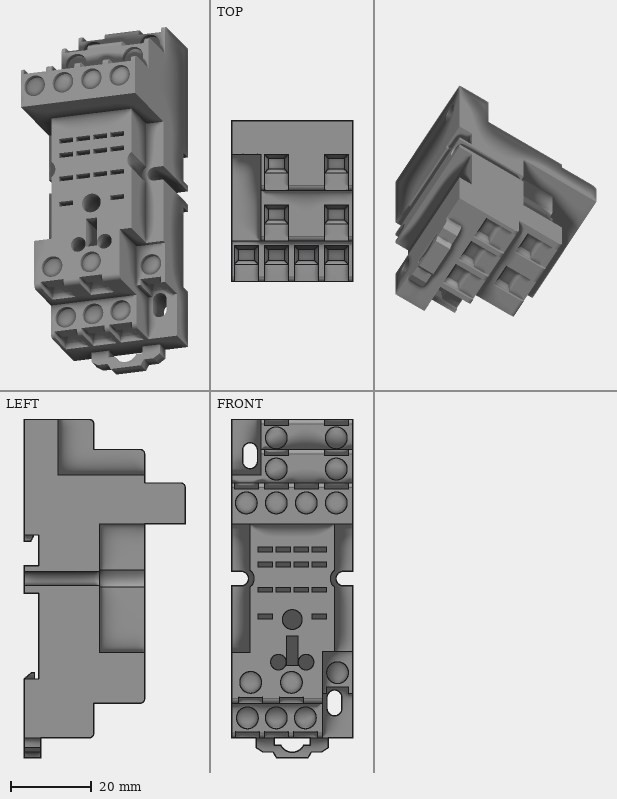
import cadquery as cq
import math


WIDTH = 29.97
HALF_WIDTH = WIDTH / 2
HEIGHT = 78.87
REAR_TIER_DEPTH = 17.27
FRONT_TIER_DEPTH = 29.85
OVERHANG_DEPTH = 39.88
REAR_TIER_TOP = HEIGHT
FRONT_TIER_TOP = 71.45
OVERHANG_TOP = 63.16
OVERHANG_BOTTOM = 52.98
FRONT_TIER_BOTTOM = 8.54
EDGE_RADIUS = 1.2

CHANNEL_DEPTH = 3.6
UPPER_CHANNEL = (42.64, 50.2)
LOWER_CHANNEL = (14.6, 35.8)

PAD_DEPTH = 8.38
UPPER_PAD_RIGHT = -7.77
UPPER_PAD_BOTTOM = 65.1
CORNER_BLOCK_LEFT = 7.45
CORNER_BLOCK_TOP = 21.4
LOWER_PAD_TOP = 11.04
OBLONG_WIDTH = 3.6
OBLONG_LENGTH = 6.35
OBLONG_X = 10.45
UPPER_OBLONG_Z = 69.85
LOWER_OBLONG_Z = 8.65

RECESS_FLOOR_DEPTH = 18.69
RECESS_WALL_X = 10.48
RECESS_BOTTOM = 21.15
GROOVE_Z = HEIGHT / 2
GROOVE_RADIUS = 1.77
GROOVE_END_X = 10.86
RELIEF_HALF_CHORD = 2.1
RELIEF_SAGITTA = 1.05

NOTCH_WIDTH = 5.94
CORNER_NOTCH_WIDTH = 5.44
NOTCH_LENGTH = REAR_TIER_DEPTH - PAD_DEPTH
NOTCH_HEIGHT = 1.52
POCKET_LENGTH = 4.6
POCKET_TAPER = 0.98
POCKET_DEPTH = 1.65
SCREW_RADIUS = 2.7
SCREW_DEPTH = 1.5
REAR_SCREW_OFFSET = 4.6
FRONT_SCREW_OFFSET = 4.9
OVERHANG_SCREW_OFFSET = 5.0
FRONT_LOWER_SCREW_OFFSET = 5.2
REAR_LOWER_SCREW_OFFSET = 4.95
CORNER_SCREW_OFFSET = 5.1
TERMINAL_PITCH = 7.42
FIRST_COLUMN_X = -11.36
UPPER_COLUMN_COUNT = 4
UPPER_COLUMNS = [FIRST_COLUMN_X + i * TERMINAL_PITCH for i in range(UPPER_COLUMN_COUNT)]
OUTER_COLUMNS = [UPPER_COLUMNS[1], UPPER_COLUMNS[-1]]
REAR_LOWER_COLUMNS = [-11.1, -3.95, 3.25]
FRONT_LOWER_COLUMNS = [-10.3, -0.2]
CORNER_COLUMNS = [11.22]

CONTACT_WIDTH = 3.66
CONTACT_HEIGHT = 1.22
CONTACT_PITCH = 4.46
CONTACT_COUNT = 4
CONTACT_COLUMNS = [(i - (CONTACT_COUNT - 1) / 2) * CONTACT_PITCH for i in range(CONTACT_COUNT)]
FULL_CONTACT_ROWS = [46.67, 42.88, 36.68]
COIL_CONTACT_ROW = 30.0
SOCKET_DEPTH = 10.0
CENTRE_HOLE_Z = 29.3
CENTRE_HOLE_RADIUS = 2.45
KEY_SLOT_WIDTH = 2.87
KEY_SLOT_BOTTOM = 17.88
KEY_SLOT_TOP = 25.27
SIDE_HOLE_X = 3.42
SIDE_HOLE_Z = 18.75
SIDE_HOLE_RADIUS = 1.93

CLIP_HALF_WIDTH = 8.97
CLIP_THICKNESS = 4.1
CLIP_DROP = 4.95
CLIP_SIDE_DROP = 2.4
CLIP_SHOULDER_DROP = 3.5
CLIP_SHOULDER_OUTER = 7.3
CLIP_SHOULDER_INNER = 4.75
CLIP_TIP_HALF_WIDTH = 3.9
CLIP_OPENING_HALF_WIDTH = 4.45
CLIP_OPENING_DROP = 1.8
CLIP_ARC_HALF_WIDTH = 2.8
CLIP_ARC_DROP = 3.55
HOOK_HEIGHT = 1.55
UPPER_HOOK_ROOT = 2.4
UPPER_HOOK_TIP = 1.65
LOWER_HOOK_DEPTH = 2.6
LOWER_HOOK_RAMP = 1.8


def block(x_range, depth_range, z_range):
    """Box between the given X, depth and Z limits."""
    x0, x1 = x_range
    d0, d1 = depth_range
    z0, z1 = z_range
    box = cq.Workplane("XY").box(x1 - x0, d1 - d0, z1 - z0, centered=False)
    return box.translate((x0, -d1, z0))


def side_profile(points, half_width):
    """Prism along X, centred, from (depth, z) points."""
    outline = cq.Workplane("YZ").polyline([(-depth, z) for depth, z in points]).close()
    return outline.extrude(half_width, both=True)


def front_hole(x, z, radius, face_depth, hole_depth):
    """Round cutter that enters the face at face_depth and runs towards the back."""
    face = cq.Workplane("XZ", origin=(x, hole_depth - face_depth, z))
    return face.circle(radius).extrude(hole_depth)


def make_body():
    profile = [
        (0, 0),
        (REAR_TIER_DEPTH, 0),
        (REAR_TIER_DEPTH, FRONT_TIER_BOTTOM),
        (FRONT_TIER_DEPTH, FRONT_TIER_BOTTOM),
        (FRONT_TIER_DEPTH, OVERHANG_BOTTOM),
        (OVERHANG_DEPTH, OVERHANG_BOTTOM),
        (OVERHANG_DEPTH, OVERHANG_TOP),
        (FRONT_TIER_DEPTH, OVERHANG_TOP),
        (FRONT_TIER_DEPTH, FRONT_TIER_TOP),
        (REAR_TIER_DEPTH, FRONT_TIER_TOP),
        (REAR_TIER_DEPTH, REAR_TIER_TOP),
        (0, REAR_TIER_TOP),
    ]
    rounded_edges = [
        (REAR_TIER_DEPTH, 0),
        (FRONT_TIER_DEPTH, FRONT_TIER_BOTTOM),
        (OVERHANG_DEPTH, OVERHANG_TOP),
        (FRONT_TIER_DEPTH, FRONT_TIER_TOP),
        (REAR_TIER_DEPTH, REAR_TIER_TOP),
    ]
    body = side_profile(profile, HALF_WIDTH)
    for depth, z in rounded_edges:
        edge = body.edges(cq.selectors.NearestToPointSelector((0, -depth, z)))
        body = edge.fillet(EDGE_RADIUS)
    return body


def cut_rail_channels(body):
    for z_range in (UPPER_CHANNEL, LOWER_CHANNEL):
        body = body.cut(block((-HALF_WIDTH, HALF_WIDTH), (0, CHANNEL_DEPTH), z_range))
    return body


def oblong_hole(x, z):
    plane = cq.Workplane("XZ", origin=(x, 0, z))
    return plane.slot2D(OBLONG_LENGTH, OBLONG_WIDTH, 90).extrude(OVERHANG_DEPTH)


def cut_mounting_corners(body):
    upper_pad_x = (-HALF_WIDTH, UPPER_PAD_RIGHT)
    upper_pad = block(upper_pad_x, (PAD_DEPTH, OVERHANG_DEPTH), (UPPER_PAD_BOTTOM, HEIGHT))
    corner_x = (CORNER_BLOCK_LEFT, HALF_WIDTH)
    corner_block = block(corner_x, (REAR_TIER_DEPTH, OVERHANG_DEPTH), (0, CORNER_BLOCK_TOP))
    lower_pad = block(corner_x, (PAD_DEPTH, OVERHANG_DEPTH), (0, LOWER_PAD_TOP))
    body = body.cut(upper_pad).cut(corner_block).cut(lower_pad)
    body = body.cut(oblong_hole(-OBLONG_X, UPPER_OBLONG_Z))
    return body.cut(oblong_hole(OBLONG_X, LOWER_OBLONG_Z))


def cut_side(body, side):
    """Recess, finger groove and rounded relief on one side (-1 left, 1 right)."""
    recess_x = sorted((side * RECESS_WALL_X, side * HALF_WIDTH))
    recess_depths = (RECESS_FLOOR_DEPTH, FRONT_TIER_DEPTH)
    body = body.cut(block(recess_x, recess_depths, (RECESS_BOTTOM, OVERHANG_BOTTOM)))

    groove_depth = RECESS_FLOOR_DEPTH
    groove_centre = GROOVE_END_X + GROOVE_RADIUS
    groove_x = sorted((side * groove_centre, side * HALF_WIDTH))
    groove_z = (GROOVE_Z - GROOVE_RADIUS, GROOVE_Z + GROOVE_RADIUS)
    body = body.cut(block(groove_x, (0, groove_depth), groove_z))
    body = body.cut(front_hole(side * groove_centre, GROOVE_Z, GROOVE_RADIUS, groove_depth, groove_depth))

    relief_radius = (RELIEF_HALF_CHORD**2 + RELIEF_SAGITTA**2) / (2 * RELIEF_SAGITTA)
    relief_x = RECESS_WALL_X - RELIEF_SAGITTA + relief_radius
    relief_depth = FRONT_TIER_DEPTH - RECESS_FLOOR_DEPTH
    return body.cut(front_hole(side * relief_x, GROOVE_Z, relief_radius, FRONT_TIER_DEPTH, relief_depth))


def wire_entry(x, face_depth, edge_z, direction, width):
    """Notch and tapered pocket at a tier edge; direction is 1 for upward, -1 for downward."""
    back_depth = face_depth - NOTCH_LENGTH
    floor_z = edge_z - direction * NOTCH_HEIGHT
    x_range = (x - width / 2, x + width / 2)
    notch = block(x_range, (back_depth, face_depth), sorted((floor_z, edge_z)))
    taper = math.degrees(math.atan(POCKET_TAPER / POCKET_DEPTH))
    pocket_centre = (x, -back_depth - POCKET_LENGTH / 2, floor_z)
    mouth = cq.Workplane(cq.Plane(pocket_centre, xDir=(1, 0, 0), normal=(0, 0, -direction)))
    pocket = mouth.rect(width, POCKET_LENGTH).extrude(POCKET_DEPTH, taper=taper)
    return notch.union(pocket)


def cut_terminals(body, columns, face_depth, edge_z, screw_offset, direction, width=NOTCH_WIDTH):
    """Row of terminals: a wire entry at the tier edge and a screw opening in the face."""
    screw_z = edge_z - direction * screw_offset
    for x in columns:
        body = body.cut(wire_entry(x, face_depth, edge_z, direction, width))
        body = body.cut(front_hole(x, screw_z, SCREW_RADIUS, face_depth, SCREW_DEPTH))
    return body


def cut_all_terminals(body):
    up = 1
    down = -1
    body = cut_terminals(body, OUTER_COLUMNS, REAR_TIER_DEPTH, REAR_TIER_TOP, REAR_SCREW_OFFSET, up)
    body = cut_terminals(body, OUTER_COLUMNS, FRONT_TIER_DEPTH, FRONT_TIER_TOP, FRONT_SCREW_OFFSET, up)
    body = cut_terminals(body, UPPER_COLUMNS, OVERHANG_DEPTH, OVERHANG_TOP, OVERHANG_SCREW_OFFSET, up)
    body = cut_terminals(
        body, FRONT_LOWER_COLUMNS, FRONT_TIER_DEPTH, FRONT_TIER_BOTTOM, FRONT_LOWER_SCREW_OFFSET, down
    )
    body = cut_terminals(body, REAR_LOWER_COLUMNS, REAR_TIER_DEPTH, 0, REAR_LOWER_SCREW_OFFSET, down)
    return cut_terminals(
        body, CORNER_COLUMNS, REAR_TIER_DEPTH, LOWER_PAD_TOP, CORNER_SCREW_OFFSET, down, CORNER_NOTCH_WIDTH
    )


def cut_plug_face(body):
    """Contact slots, centre hole, key slot and the two holes beside it."""
    contacts = [(x, z) for z in FULL_CONTACT_ROWS for x in CONTACT_COLUMNS]
    contacts += [(x, COIL_CONTACT_ROW) for x in (CONTACT_COLUMNS[0], CONTACT_COLUMNS[-1])]
    socket_depths = (FRONT_TIER_DEPTH - SOCKET_DEPTH, FRONT_TIER_DEPTH)
    for x, z in contacts:
        x_range = (x - CONTACT_WIDTH / 2, x + CONTACT_WIDTH / 2)
        z_range = (z - CONTACT_HEIGHT / 2, z + CONTACT_HEIGHT / 2)
        body = body.cut(block(x_range, socket_depths, z_range))

    key_x = (-KEY_SLOT_WIDTH / 2, KEY_SLOT_WIDTH / 2)
    body = body.cut(block(key_x, socket_depths, (KEY_SLOT_BOTTOM, KEY_SLOT_TOP)))
    body = body.cut(front_hole(0, CENTRE_HOLE_Z, CENTRE_HOLE_RADIUS, FRONT_TIER_DEPTH, SOCKET_DEPTH))
    for x in (-SIDE_HOLE_X, SIDE_HOLE_X):
        body = body.cut(front_hole(x, SIDE_HOLE_Z, SIDE_HOLE_RADIUS, FRONT_TIER_DEPTH, SOCKET_DEPTH))
    return body


def make_clip():
    """Release tab hanging below the body, with an opening for a screwdriver."""
    outline = (
        cq.Workplane("XZ")
        .moveTo(-CLIP_HALF_WIDTH, 0)
        .lineTo(-CLIP_HALF_WIDTH, -CLIP_SIDE_DROP)
        .lineTo(-CLIP_SHOULDER_OUTER, -CLIP_SHOULDER_DROP)
        .lineTo(-CLIP_SHOULDER_INNER, -CLIP_SHOULDER_DROP)
        .lineTo(-CLIP_TIP_HALF_WIDTH, -CLIP_DROP)
        .lineTo(CLIP_TIP_HALF_WIDTH, -CLIP_DROP)
        .lineTo(CLIP_SHOULDER_INNER, -CLIP_SHOULDER_DROP)
        .lineTo(CLIP_SHOULDER_OUTER, -CLIP_SHOULDER_DROP)
        .lineTo(CLIP_HALF_WIDTH, -CLIP_SIDE_DROP)
        .lineTo(CLIP_HALF_WIDTH, 0)
        .lineTo(CLIP_OPENING_HALF_WIDTH, 0)
        .lineTo(CLIP_OPENING_HALF_WIDTH, -CLIP_OPENING_DROP)
        .lineTo(CLIP_ARC_HALF_WIDTH, -CLIP_OPENING_DROP)
        .threePointArc((0, -CLIP_ARC_DROP), (-CLIP_ARC_HALF_WIDTH, -CLIP_OPENING_DROP))
        .lineTo(-CLIP_OPENING_HALF_WIDTH, -CLIP_OPENING_DROP)
        .lineTo(-CLIP_OPENING_HALF_WIDTH, 0)
        .close()
    )
    return outline.extrude(CLIP_THICKNESS)


def make_hooks():
    """Rail hooks at the top of the upper channel and the bottom of the lower one."""
    upper_root_z = UPPER_CHANNEL[1]
    upper_tip_z = upper_root_z - HOOK_HEIGHT
    lower_root_z = LOWER_CHANNEL[0]
    lower_tip_z = lower_root_z + HOOK_HEIGHT
    upper = side_profile(
        [
            (0, upper_root_z),
            (UPPER_HOOK_ROOT, upper_root_z),
            (UPPER_HOOK_TIP, upper_tip_z),
            (0, upper_tip_z),
        ],
        CLIP_HALF_WIDTH,
    )
    lower = side_profile(
        [
            (0, lower_root_z),
            (LOWER_HOOK_DEPTH, lower_root_z),
            (LOWER_HOOK_DEPTH, lower_tip_z),
            (LOWER_HOOK_RAMP, lower_tip_z),
        ],
        CLIP_HALF_WIDTH,
    )
    return upper.union(lower)


socket = make_body()
socket = cut_rail_channels(socket)
socket = cut_mounting_corners(socket)
socket = cut_side(socket, -1)
socket = cut_side(socket, 1)
socket = cut_all_terminals(socket)
socket = cut_plug_face(socket)
result = socket.union(make_clip()).union(make_hooks())